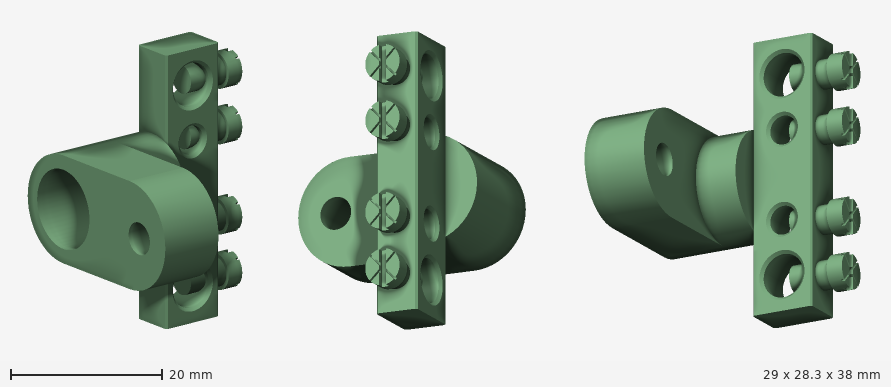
import cadquery as cq


hub_diameter = 15.0
hub_length = 15.0
hub_bore_diameter = 11.02
hub_floor = (hub_diameter - hub_bore_diameter) / 2
hub_bore_depth = hub_length - hub_floor
arm_thickness = 9.0
arm_length = 14.0
arm_hole_diameter = 4.5
arm_hole_offset = 16.0

bar_height = 38.0
bar_width = 6.0
bar_depth = 9.0
bar_edge_chamfer = 0.285
bar_front = hub_length
bar_back = bar_front + bar_depth
bar_middle = bar_front + bar_depth / 2

large_hole_diameter = 6.0
small_hole_diameter = 4.0
hole_chamfer = 0.4
large_hole_height = 14.0
small_hole_height = 6.27
screw_heights = [
    -large_hole_height,
    -small_hole_height,
    small_hole_height,
    large_hole_height,
]

shank_diameter = 4.0
shank_insertion = 4.0
neck_length = 1.98
head_diameter = 5.0
head_height = 2.3
slot_width = 1.0
slot_depth = 0.95
notch_width = 0.3
notch_depth = 0.5
notch_angles = (45, -45)


def cylinder_along_y(diameter, start, length, x=0.0, z=0.0):
    """Solid cylinder that starts at Y = start and grows toward +Y."""
    return cq.Workplane(cq.Solid.makeCylinder(
        diameter / 2, length, cq.Vector(x, start, z), cq.Vector(0, 1, 0)))


def make_crank():
    hub = cylinder_along_y(hub_diameter, 0, hub_length)
    arm_web = cq.Workplane("XY").box(
        arm_length, arm_thickness, hub_diameter, centered=(False, False, True))
    arm_end = cylinder_along_y(hub_diameter, 0, arm_thickness, x=arm_length)
    hub_bore = cylinder_along_y(hub_bore_diameter, 0, hub_bore_depth)
    arm_hole = cylinder_along_y(arm_hole_diameter, 0, arm_thickness, x=arm_hole_offset)
    return hub.union(arm_web).union(arm_end).cut(hub_bore).cut(arm_hole)


def make_cross_hole(diameter, height):
    """Cutter along X through the bar, flared by a chamfer at both mouths."""
    half_width = bar_width / 2
    radius = diameter / 2
    mouth_radius = radius + hole_chamfer
    profile = [
        (-half_width, 0),
        (-half_width, mouth_radius),
        (-half_width + hole_chamfer, radius),
        (half_width - hole_chamfer, radius),
        (half_width, mouth_radius),
        (half_width, 0),
    ]
    cutter = cq.Workplane("XY").polyline(profile).close().revolve(360, (0, 0, 0), (1, 0, 0))
    return cutter.translate((0, bar_middle, height))


def make_bar():
    bar = cq.Workplane("XY").box(bar_width, bar_depth, bar_height)
    bar = bar.edges("|Z").chamfer(bar_edge_chamfer).translate((0, bar_middle, 0))
    for side in (-1, 1):
        bar = bar.cut(make_cross_hole(large_hole_diameter, side * large_hole_height))
        bar = bar.cut(make_cross_hole(small_hole_diameter, side * small_hole_height))
    for height in screw_heights:
        bar = bar.cut(cylinder_along_y(
            shank_diameter, bar_back - shank_insertion, shank_insertion, z=height))
    return bar


def make_head_groove(width, depth, angle):
    """Cutter for a groove right across the screw head, turned about the screw axis."""
    head_top = bar_back + neck_length + head_height
    groove = cq.Workplane("XY").box(width, depth, 2 * head_diameter)
    groove = groove.translate((0, head_top - depth / 2, 0))
    return groove.rotate((0, 0, 0), (0, 1, 0), angle)


def make_screw(height):
    shank = cylinder_along_y(
        shank_diameter, bar_back - shank_insertion, shank_insertion + neck_length)
    head = cylinder_along_y(head_diameter, bar_back + neck_length, head_height)
    screw = shank.union(head).cut(make_head_groove(slot_width, slot_depth, 0))
    for angle in notch_angles:
        screw = screw.cut(make_head_groove(notch_width, notch_depth, angle))
    return screw.translate((0, 0, height))


crank = make_crank()
bar = make_bar()
screws = [make_screw(height) for height in screw_heights]

result = cq.Compound.makeCompound([crank.val(), bar.val(), *[screw.val() for screw in screws]])